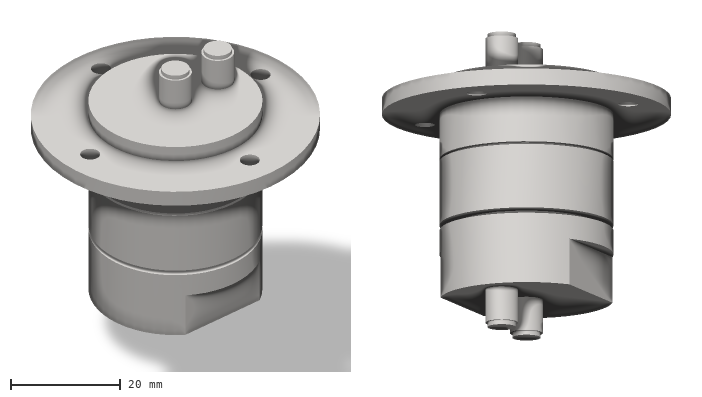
import cadquery as cq

total_height = 54.6
body_diameter = 31.8
body_bottom = 7.0
body_top = total_height - body_bottom

flange_diameter = 52.8
flange_thickness = 3.0
boss_height = 3.0
flange_top = body_top - boss_height
hole_diameter = 3.65
hole_circle_diameter = 41.3
hole_count = 4

wide_groove_diameter = 26.2
wide_groove_bottom = 19.95
wide_groove_width = 1.0
narrow_groove_diameter = 30.05
narrow_groove_bottom = 32.75
narrow_groove_width = 0.5

flat_spacing = wide_groove_diameter
flat_height = 8.5

rod_diameter = 6.0
rod_tip_diameter = 5.2
rod_tip_length = 0.8
rod_offset = 10.25


def cylinder(diameter, bottom, height):
    """Vertical cylinder on the main axis."""
    return cq.Workplane("XY").workplane(offset=bottom).circle(diameter / 2).extrude(height)


def cut_groove(body, floor_diameter, bottom, width):
    """Cut a square groove around the body."""
    ring = cylinder(flange_diameter, bottom, width).cut(cylinder(floor_diameter, bottom, width))
    return body.cut(ring)


def make_body():
    body = cylinder(body_diameter, body_bottom, body_top - body_bottom)
    foot_slab = (
        cq.Workplane("XY")
        .workplane(offset=body_bottom)
        .rect(flat_spacing, body_diameter)
        .extrude(flat_height)
    )
    foot_waste = cylinder(flange_diameter, body_bottom, flat_height).cut(foot_slab)
    body = body.cut(foot_waste)
    body = cut_groove(body, wide_groove_diameter, wide_groove_bottom, wide_groove_width)
    return cut_groove(body, narrow_groove_diameter, narrow_groove_bottom, narrow_groove_width)


def make_flange():
    holes = (
        cq.Workplane("XY")
        .workplane(offset=flange_top - flange_thickness)
        .polarArray(hole_circle_diameter / 2, 0, 360, hole_count)
        .circle(hole_diameter / 2)
        .extrude(flange_thickness)
    )
    return cylinder(flange_diameter, flange_top - flange_thickness, flange_thickness).cut(holes)


def make_rod(y):
    """Rod running through the whole part, narrowed at both ends."""
    core = cylinder(rod_tip_diameter, 0, total_height)
    shank = cylinder(rod_diameter, rod_tip_length, total_height - 2 * rod_tip_length)
    return core.union(shank).translate((0, y, 0))


result = make_body().union(make_flange())
for rod_y in (0, rod_offset):
    result = result.union(make_rod(rod_y))